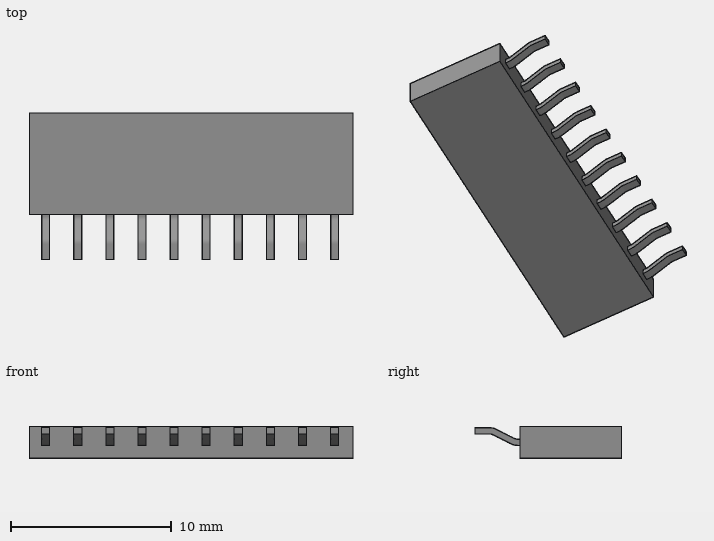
import cadquery as cq
import math

housing_length = 20.15
housing_height = 2.0
overall_depth = 9.15
lead_reach = 2.8
housing_depth = overall_depth - lead_reach

lead_count = 10
first_lead_x = 1.0
lead_row_span = 18.0
lead_pitch = lead_row_span / (lead_count - 1)

lead_width = 0.5
lead_thickness = 0.4
root_length = 0.15
lead_rise = 0.7
lower_bend_radius = 0.7
upper_bend_radius = 0.42
bend_angle = math.radians(26.7)
root_z = housing_height / 2


def make_housing():
    return cq.Workplane("XY").box(housing_length, housing_depth, housing_height, centered=False)


def bend_span(bend_radius):
    """Run along Y and rise along Z of an arc that turns from level to the bend angle."""
    run = bend_radius * math.sin(bend_angle)
    rise = bend_radius * (1 - math.cos(bend_angle))
    return run, rise


def make_lead(center_x):
    """Rectangular strip leaving the front face towards -Y and stepping up through an S-bend."""
    lower_bend_run, lower_bend_rise = bend_span(lower_bend_radius)
    upper_bend_run, upper_bend_rise = bend_span(upper_bend_radius)
    slope_rise = lead_rise - lower_bend_rise - upper_bend_rise
    slope_run = slope_rise / math.tan(bend_angle)

    lower_bend_start = (-root_length, root_z)
    lower_bend_end = (lower_bend_start[0] - lower_bend_run, root_z + lower_bend_rise)
    upper_bend_start = (lower_bend_end[0] - slope_run, lower_bend_end[1] + slope_rise)
    upper_bend_end = (upper_bend_start[0] - upper_bend_run, root_z + lead_rise)

    center_line = (
        cq.Workplane("YZ", origin=(center_x, 0, 0))
        .moveTo(0, root_z)
        .lineTo(*lower_bend_start)
        .tangentArcPoint(lower_bend_end, relative=False)
        .lineTo(*upper_bend_start)
        .tangentArcPoint(upper_bend_end, relative=False)
        .lineTo(-lead_reach, root_z + lead_rise)
    )
    section = cq.Workplane("XZ", origin=(center_x, 0, root_z)).rect(lead_width, lead_thickness)
    return section.sweep(center_line)


result = make_housing()
for lead_index in range(lead_count):
    result = result.union(make_lead(first_lead_x + lead_index * lead_pitch))